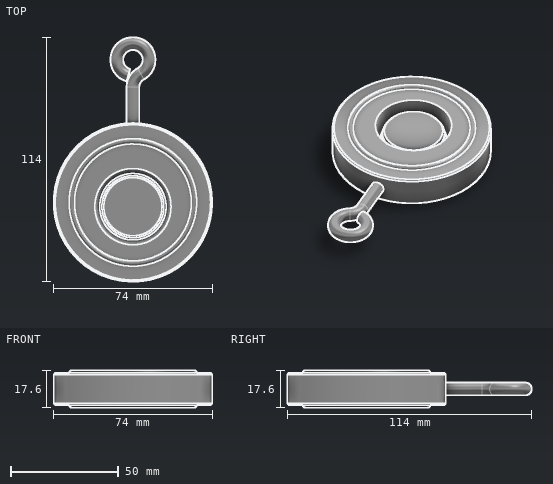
import cadquery as cq
import math

disc_diameter = 74.0
disc_thickness = 15.0
rim_chamfer = 0.8
face_z = disc_thickness / 2

seal_center_radius = 28.5
seal_section_radius = 1.3

seat_top_diameter = 35.6
seat_rim_gap = 17.2
seat_center_y = seat_rim_gap + (seat_top_diameter - disc_diameter) / 2
seat_floor_diameter = 31.0
seat_depth = 8.5
seat_floor_z = face_z - seat_depth
flap_diameter = 29.0
flap_top_depth = 3.4
flap_chamfer_width = 0.9
flap_chamfer_height = 1.6

overall_length = 114.0
wire_diameter = 6.0
wire_radius = wire_diameter / 2
eye_center_radius = 7.5
eye_end_angle = 16.0
bend_radius = 7.0
shank_embed_depth = 5.7


def make_disc():
    blank = cq.Workplane("XY").cylinder(disc_thickness, disc_diameter / 2)
    return blank.faces("|Z").edges().chamfer(rim_chamfer)


def make_seal(center_z):
    section = cq.Workplane("XZ").center(seal_center_radius, center_z).circle(seal_section_radius)
    return section.revolve(360, (-seal_center_radius, 0), (-seal_center_radius, 1))


def make_seat_cut():
    floor = cq.Workplane("XY", origin=(0, seat_center_y, seat_floor_z)).circle(seat_floor_diameter / 2)
    return floor.workplane(offset=seat_depth).circle(seat_top_diameter / 2).loft(ruled=True)


def make_flap():
    floor = cq.Workplane("XY", origin=(0, seat_center_y, seat_floor_z))
    flap = floor.circle(flap_diameter / 2).extrude(seat_depth - flap_top_depth)
    return flap.faces(">Z").edges().chamfer(flap_chamfer_height, flap_chamfer_width)


def make_eye_bolt():
    eye_center_y = overall_length - disc_diameter / 2 - eye_center_radius - wire_radius

    center_distance = eye_center_radius + bend_radius
    bend_angle = math.asin(bend_radius / center_distance)
    bend_start_y = eye_center_y - center_distance * math.cos(bend_angle)
    bend_sweep = math.pi / 2 - bend_angle
    bend_middle = (
        bend_radius * (1 - math.cos(bend_sweep / 2)),
        bend_start_y + bend_radius * math.sin(bend_sweep / 2),
    )

    def eye_point(angle):
        """Point on the eye's centre line, with the angle taken from -Y toward +X."""
        return (eye_center_radius * math.sin(angle), eye_center_y - eye_center_radius * math.cos(angle))

    shank_start_y = disc_diameter / 2 - shank_embed_depth
    eye_end = 2 * math.pi - math.radians(eye_end_angle)
    path = (
        cq.Workplane("XY")
        .moveTo(0, shank_start_y)
        .lineTo(0, bend_start_y)
        .threePointArc(bend_middle, eye_point(bend_angle))
        .threePointArc(eye_point((bend_angle + eye_end) / 2), eye_point(eye_end))
    )
    return cq.Workplane("XZ", origin=(0, shank_start_y, 0)).circle(wire_radius).sweep(path)


result = make_disc()
for side in (1, -1):
    result = result.union(make_seal(side * face_z))
result = result.cut(make_seat_cut()).union(make_flap()).union(make_eye_bolt())